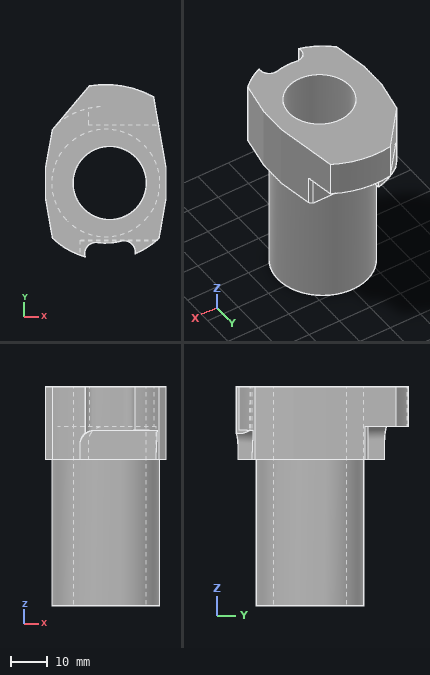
import cadquery as cq
import math

total_height = 60.0
head_height = 20.0
head_bottom = total_height - head_height

shank_diameter = 29.5
bore_diameter = 20.0
shank_center_x = -1.1

head_axis_x = -1.1
half_width = 16.5
flat_half_length = 4.4
shoulder_x = 14.65
shoulder_y = 14.6
front_radius = 21.0
back_radius = 27.0
bevel_end_x = -4.5
back_corner_x = 13.15

groove_path_radius = 19.5
groove_radius = 3.0
groove_left_angle = 8.0
groove_right_angle = 15.0

relief_corner_radius = 4.0
front_relief_depth_below_top = 12.0
front_relief_left = -7.1
front_relief_floor_y = -15.9
front_relief_tilt = 2.5
back_relief_depth_below_top = 10.9
back_relief_left = -4.75
back_relief_floor_y = 15.9
clearance = 3.0


def on_circle(radius, x, side):
    """Point at x on a circle about the head axis, at the front (-1) or back (+1)."""
    return (x, side * math.sqrt(radius ** 2 - x ** 2))


def polar(radius, angle):
    """Point on a circle, with the angle in degrees from -Y toward +X."""
    turn = math.radians(angle)
    return (radius * math.sin(turn), -radius * math.cos(turn))


def make_head():
    front_corner = on_circle(front_radius, shoulder_x, -1)
    outline = (
        cq.Workplane("XY")
        .moveTo(-shoulder_x, front_corner[1])
        .threePointArc((0, -front_radius), front_corner)
        .lineTo(half_width, -flat_half_length)
        .lineTo(half_width, flat_half_length)
        .lineTo(*on_circle(back_radius, back_corner_x, 1))
        .threePointArc((0, back_radius), on_circle(back_radius, bevel_end_x, 1))
        .lineTo(-shoulder_x, shoulder_y)
        .lineTo(-half_width, flat_half_length)
        .lineTo(-half_width, -flat_half_length)
        .close()
    )
    return outline.extrude(head_height).translate((0, 0, head_bottom))


def make_groove():
    """Sweep of a round cutter along an arc about the head axis, stopping inside the front relief pocket."""
    depth = front_relief_depth_below_top + relief_corner_radius
    inner = groove_path_radius - groove_radius
    outer = groove_path_radius + groove_radius
    middle_angle = (groove_right_angle - groove_left_angle) / 2
    band = (
        cq.Workplane("XY")
        .moveTo(*polar(inner, -groove_left_angle))
        .threePointArc(polar(inner, middle_angle), polar(inner, groove_right_angle))
        .lineTo(*polar(outer, groove_right_angle))
        .threePointArc(polar(outer, middle_angle), polar(outer, -groove_left_angle))
        .close()
        .extrude(depth)
    )
    ends = [polar(groove_path_radius, angle) for angle in (-groove_left_angle, groove_right_angle)]
    rounds = cq.Workplane("XY").pushPoints(ends).circle(groove_radius).extrude(depth)
    return band.union(rounds).translate((0, 0, total_height - depth))


def make_relief(left, floor_y, depth_below_top, side):
    """Pocket below the given depth, outward of floor_y, with a rounded top left edge."""
    length = half_width + clearance - left
    depth = back_radius + clearance - abs(floor_y)
    height = head_height - depth_below_top + clearance
    return (
        cq.Workplane("XY")
        .box(length, depth, height, centered=(False, True, False))
        .edges("<X and >Z")
        .fillet(relief_corner_radius)
        .translate((left, floor_y + side * depth / 2, head_bottom - clearance))
    )


def make_back_undercut():
    """Material under the back overhang that lies beyond the front radius."""
    height = head_height - back_relief_depth_below_top
    block_depth = back_radius + clearance
    block = cq.Workplane("XY").box(
        2 * block_depth, block_depth, height, centered=(True, False, False)
    )
    core = cq.Workplane("XY").circle(front_radius).extrude(height)
    return block.cut(core).translate((0, 0, head_bottom))


front_relief = make_relief(
    front_relief_left, front_relief_floor_y, front_relief_depth_below_top, -1
).rotate(
    (0, front_relief_floor_y, head_bottom),
    (1, front_relief_floor_y, head_bottom),
    -front_relief_tilt,
)
back_relief = make_relief(
    back_relief_left, back_relief_floor_y, back_relief_depth_below_top, 1
)

head = (
    make_head()
    .cut(make_groove())
    .cut(make_back_undercut())
    .cut(front_relief)
    .cut(back_relief)
    .translate((head_axis_x, 0, 0))
)

shank = (
    cq.Workplane("XY")
    .center(shank_center_x, 0)
    .circle(shank_diameter / 2)
    .extrude(head_bottom)
)
bore = cq.Workplane("XY").circle(bore_diameter / 2).extrude(total_height)

result = head.union(shank).cut(bore)